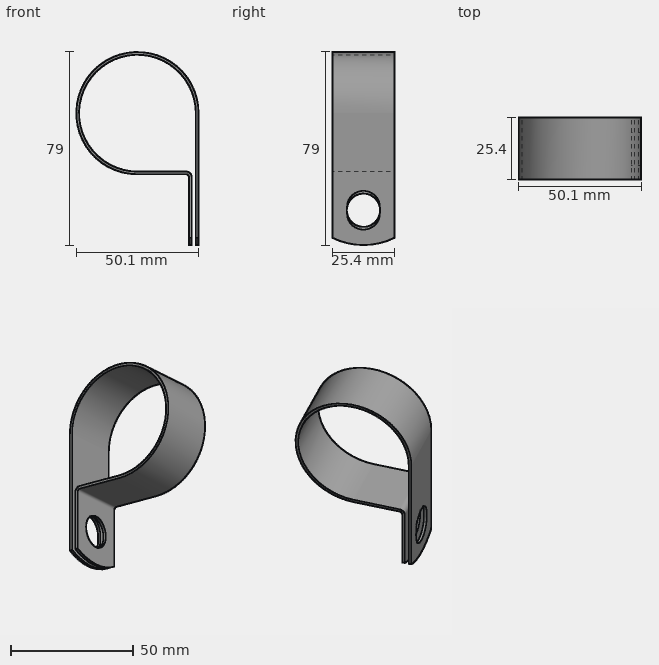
import cadquery as cq
import math

thickness = 1.22
width = 25.4
ring_outer_radius = 25.03
ring_inner_radius = ring_outer_radius - thickness

leg_gap = 1.57
leg_end_drop = 53.95
bend_inner_radius = 1.15
bend_outer_radius = bend_inner_radius + thickness
end_radius = 28.575

hole_diameter = 13.5
slot_length = 15.875
hole_drop = 39.67

inner_leg_right = ring_inner_radius - leg_gap
inner_leg_left = inner_leg_right - thickness

bend_center_x = inner_leg_left - bend_inner_radius
bend_center_z = -ring_outer_radius - bend_inner_radius


def polar_point(radius, degrees, center_x=0, center_z=0):
    """Point at an angle on a circle in the XZ plane."""
    angle = math.radians(degrees)
    return center_x + radius * math.cos(angle), center_z + radius * math.sin(angle)


def make_strap():
    """Bent strap: outer leg, three-quarter ring, flat shelf, bend and inner leg."""
    ring_middle_angle = 135
    bend_middle_angle = 45
    outer_ring_middle = polar_point(ring_outer_radius, ring_middle_angle)
    inner_ring_middle = polar_point(ring_inner_radius, ring_middle_angle)
    outer_bend_middle = polar_point(bend_outer_radius, bend_middle_angle, bend_center_x, bend_center_z)
    inner_bend_middle = polar_point(bend_inner_radius, bend_middle_angle, bend_center_x, bend_center_z)
    return (
        cq.Workplane("XZ")
        .moveTo(ring_outer_radius, -leg_end_drop)
        .lineTo(ring_outer_radius, 0)
        .threePointArc(outer_ring_middle, (0, -ring_outer_radius))
        .lineTo(bend_center_x, -ring_outer_radius)
        .threePointArc(inner_bend_middle, (inner_leg_left, bend_center_z))
        .lineTo(inner_leg_left, -leg_end_drop)
        .lineTo(inner_leg_right, -leg_end_drop)
        .lineTo(inner_leg_right, bend_center_z)
        .threePointArc(outer_bend_middle, (bend_center_x, -ring_inner_radius))
        .lineTo(0, -ring_inner_radius)
        .threePointArc(inner_ring_middle, (ring_inner_radius, 0))
        .lineTo(ring_inner_radius, -leg_end_drop)
        .close()
        .extrude(width / 2, both=True)
    )


def make_side_envelope():
    """Side outline of the strap, with the rounded leg tips, swept across the part."""
    half_width = width / 2
    tip_rise = end_radius - math.sqrt(end_radius**2 - half_width**2)
    corner_z = tip_rise - leg_end_drop
    return (
        cq.Workplane("YZ")
        .moveTo(-half_width, ring_outer_radius)
        .lineTo(-half_width, corner_z)
        .threePointArc((0, -leg_end_drop), (half_width, corner_z))
        .lineTo(half_width, ring_outer_radius)
        .close()
        .extrude(ring_outer_radius, both=True)
    )


def make_round_hole():
    """Round bolt hole through the inner leg."""
    return (
        cq.Workplane("YZ", origin=(inner_leg_left, 0, -hole_drop))
        .circle(hole_diameter / 2)
        .extrude(thickness)
    )


def make_slotted_hole():
    """Upright slotted bolt hole through the outer leg."""
    vertical = 90
    return (
        cq.Workplane("YZ", origin=(ring_inner_radius, 0, -hole_drop))
        .slot2D(slot_length, hole_diameter, vertical)
        .extrude(thickness)
    )


strap = make_strap().intersect(make_side_envelope())
result = strap.cut(make_round_hole()).cut(make_slotted_hole())